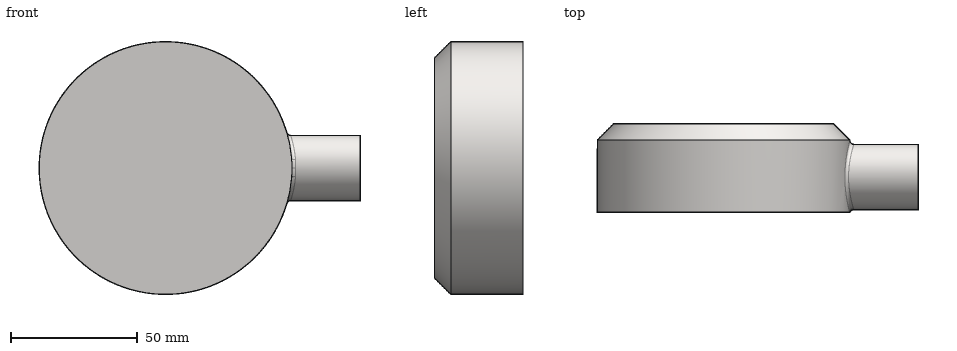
import cadquery as cq

overall_length = 127.0
disc_diameter = 100.0
disc_thickness = 35.0
rim_chamfer_depth = 6.5
rim_chamfer_width = 6.5

stem_diameter = 25.9
stem_axis_y = 14.0
root_fillet = 1.5

disc_radius = disc_diameter / 2
stem_end_x = overall_length - disc_radius


def make_disc():
    """Half profile of the disc, chamfered at the back rim, revolved about Y."""
    profile = (
        cq.Workplane("XY")
        .lineTo(disc_radius, 0)
        .lineTo(disc_radius, disc_thickness - rim_chamfer_depth)
        .lineTo(disc_radius - rim_chamfer_width, disc_thickness)
        .lineTo(0, disc_thickness)
        .close()
    )
    return profile.revolve(360, (0, 0, 0), (0, 1, 0))


def make_stem():
    """Solid stem running from the disc axis out to the +X end."""
    return (
        cq.Workplane("YZ")
        .center(stem_axis_y, 0)
        .circle(stem_diameter / 2)
        .extrude(stem_end_x)
    )


body = make_disc().union(make_stem())

result = body.edges("%BSPLINE").fillet(root_fillet)